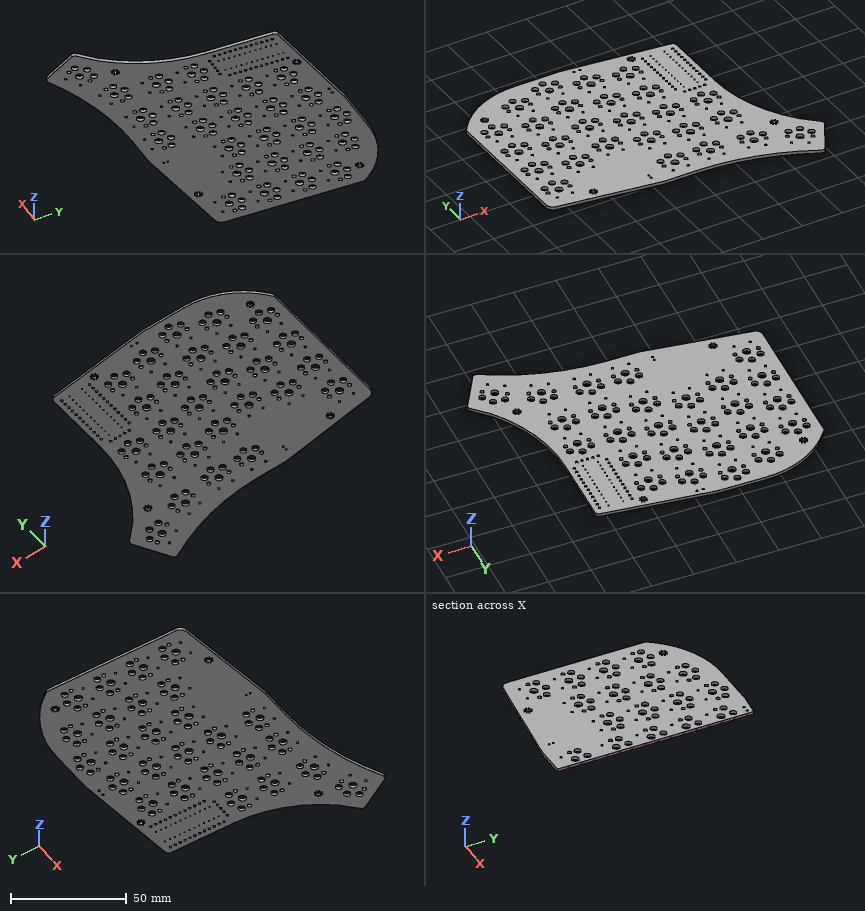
import cadquery as cq
import math

LENGTH = 136.48
WIDTH = 111.0
THICKNESS = 1.6

LEFT_EDGE_TOP = 92.1
LEFT_EDGE_FOOT = 21.5
LEFT_EDGE_CORNER_RADIUS = 3.5
SHOULDER_START = (2.3, 95.15)
SHOULDER_MIDDLE = (15.5, 106.05)
SHOULDER_END = (35.5, WIDTH)
TOP_SLOPE_START = 58.0
RIGHT_EDGE = 112.7
RIGHT_EDGE_TOP = 104.7
RIGHT_EDGE_CORNER_RADIUS = 2.0
WAIST_START = (RIGHT_EDGE, 70.5)
WAIST_MIDDLE = (116.8, 47.1)
WAIST_END = (128.8, 26.4)
FOOT_LEVEL = 14.1
FOOT_FLAT_START = 54.0
FOOT_FLAT_END = 70.0
FOOT_CURVE_MIDDLE = (95.0, 11.2)

TIP_RADIUS = 2.0
TIP_TILT = 30.0
TIP_UPPER_CENTRE_Y = 18.2
TIP_UPPER_NORMAL = 45.0
TIP_LOWER_NORMAL = 244.0

KEY_PITCH_X = 18.0
KEY_PITCH_Y = 17.0
FIRST_COLUMN_X = 11.0
INNER_COLUMN_X = 102.0
KEY_COLUMNS = [
    (FIRST_COLUMN_X, 32.0, 4),
    (FIRST_COLUMN_X + KEY_PITCH_X, 44.5, 4),
    (FIRST_COLUMN_X + 2 * KEY_PITCH_X, 49.5, 4),
    (FIRST_COLUMN_X + 3 * KEY_PITCH_X, 44.5, 4),
    (FIRST_COLUMN_X + 4 * KEY_PITCH_X, 24.5, 5),
    (INNER_COLUMN_X, 41.5, 2),
]
LOWER_KEY = (FIRST_COLUMN_X + 3 * KEY_PITCH_X, 24.5)
THUMB_KEYS = [(103.35, 21.85, -15.0), (122.05, 14.25, -30.0)]

SWITCH_POST_DIAMETER = 3.43
SWITCH_PIN_DIAMETER = 3.0
SWITCH_SIDE_PIN = (5.0, 3.75)
SWITCH_TOP_PIN_Y = 5.9
SWITCH_PEG_DIAMETER = 1.7
SWITCH_PEG_X = 5.5
DIODE_HOLE_DIAMETER = 0.99
DIODE_HOLE_X = 3.81
DIODE_HOLE_Y = -5.0

HEADER_PITCH = 2.54
HEADER_ROWS = 12
HEADER_ROW_SPAN = 6 * HEADER_PITCH
HEADER_HOLE_DIAMETER = 1.0
HEADER_BOTTOM_Y = 73.25
VIA_ROW_SPAN = 7.0
VIA_DIAMETER = 0.4
DISPLAY_HOLES = 5
DISPLAY_Y = 69.8

POWER_PEG_DIAMETER = 0.9
POWER_PEG_CENTRE = (65.0, 107.5)
POWER_PEG_SPACING = 3.0
BATTERY_HOLE_DIAMETER = 0.75
BATTERY_CENTRE = (50.0, 20.5)
BATTERY_SPACING = 2.0

MOUNT_POINTS = [(11.0, 95.0), (90.0, 103.4), (118.0, 29.5), (23.0, 23.0)]
MOUNT_DIAMETER = 2.2
MOUNT_VIA_COUNT = 8
MOUNT_VIA_RADIUS = 1.65


def on_circle(centre, radius, degrees):
    """Point on a circle, at an angle from +X."""
    angle = math.radians(degrees)
    return (centre[0] + radius * math.cos(angle), centre[1] + radius * math.sin(angle))


def make_plate():
    tip_upper = (LENGTH - TIP_RADIUS, TIP_UPPER_CENTRE_Y)
    tip_drop = tip_upper[1] - TIP_RADIUS
    tip_lower = (tip_upper[0] - tip_drop * math.tan(math.radians(TIP_TILT)), TIP_RADIUS)
    plate = (
        cq.Workplane("XY")
        .moveTo(0, LEFT_EDGE_TOP)
        .lineTo(*SHOULDER_START)
        .threePointArc(SHOULDER_MIDDLE, SHOULDER_END)
        .lineTo(TOP_SLOPE_START, WIDTH)
        .lineTo(RIGHT_EDGE, RIGHT_EDGE_TOP)
        .lineTo(*WAIST_START)
        .threePointArc(WAIST_MIDDLE, WAIST_END)
        .lineTo(*on_circle(tip_upper, TIP_RADIUS, TIP_UPPER_NORMAL))
        .threePointArc(
            on_circle(tip_upper, TIP_RADIUS, 0),
            on_circle(tip_upper, TIP_RADIUS, -TIP_TILT),
        )
        .lineTo(*on_circle(tip_lower, TIP_RADIUS, -TIP_TILT))
        .threePointArc(
            on_circle(tip_lower, TIP_RADIUS, -90),
            on_circle(tip_lower, TIP_RADIUS, TIP_LOWER_NORMAL),
        )
        .threePointArc(FOOT_CURVE_MIDDLE, (FOOT_FLAT_END, FOOT_LEVEL))
        .lineTo(FOOT_FLAT_START, FOOT_LEVEL)
        .lineTo(0, LEFT_EDGE_FOOT)
        .close()
        .extrude(THICKNESS)
    )
    plate = round_corner(plate, (0, LEFT_EDGE_FOOT), LEFT_EDGE_CORNER_RADIUS)
    return round_corner(plate, (RIGHT_EDGE, RIGHT_EDGE_TOP), RIGHT_EDGE_CORNER_RADIUS)


def round_corner(plate, corner, radius):
    """Fillet the upright edge at an outline corner."""
    nearest = cq.selectors.NearestToPointSelector((*corner, THICKNESS / 2))
    return plate.edges("|Z").edges(nearest).fillet(radius)


def key_positions():
    """Every key as (x, y, turn in degrees)."""
    keys = list(THUMB_KEYS)
    keys.append((*LOWER_KEY, 0.0))
    for column_x, lowest_y, count in KEY_COLUMNS:
        for row in range(count):
            keys.append((column_x, lowest_y + row * KEY_PITCH_Y, 0.0))
    return keys


def at_keys(offsets):
    """Points at the given offsets from every key, turned with the key."""
    points = []
    for key_x, key_y, turn in key_positions():
        cosine = math.cos(math.radians(turn))
        sine = math.sin(math.radians(turn))
        for dx, dy in offsets:
            points.append((key_x + dx * cosine - dy * sine, key_y + dx * sine + dy * cosine))
    return points


def header_points(row_span):
    """Two upright rows of points, spaced evenly about the inner key column."""
    points = []
    for row in range(HEADER_ROWS):
        y = HEADER_BOTTOM_Y + row * HEADER_PITCH
        points.append((INNER_COLUMN_X - row_span / 2, y))
        points.append((INNER_COLUMN_X + row_span / 2, y))
    return points


def display_points():
    first_x = INNER_COLUMN_X - HEADER_PITCH * (DISPLAY_HOLES - 1) / 2
    return [(first_x + i * HEADER_PITCH, DISPLAY_Y) for i in range(DISPLAY_HOLES)]


def power_points():
    x, y = POWER_PEG_CENTRE
    return [(x - POWER_PEG_SPACING / 2, y), (x + POWER_PEG_SPACING / 2, y)]


def battery_points():
    x, y = BATTERY_CENTRE
    return [(x, y - BATTERY_SPACING / 2), (x, y + BATTERY_SPACING / 2)]


def mount_via_points():
    step = 360 / MOUNT_VIA_COUNT
    return [
        on_circle(mount, MOUNT_VIA_RADIUS, i * step)
        for mount in MOUNT_POINTS
        for i in range(MOUNT_VIA_COUNT)
    ]


def drill(plate, points, diameter):
    """Cut a through hole at every point."""
    holes = cq.Workplane("XY").pushPoints(points).circle(diameter / 2).extrude(THICKNESS)
    return plate.cut(holes)


side_x, side_y = SWITCH_SIDE_PIN
switch_pins = [(-side_x, side_y), (side_x, side_y), (0, SWITCH_TOP_PIN_Y)]
switch_pegs = [(-SWITCH_PEG_X, 0), (SWITCH_PEG_X, 0)]
diode_holes = [(-DIODE_HOLE_X, DIODE_HOLE_Y), (DIODE_HOLE_X, DIODE_HOLE_Y)]

result = make_plate()
result = drill(result, at_keys([(0, 0)]), SWITCH_POST_DIAMETER)
result = drill(result, at_keys(switch_pins), SWITCH_PIN_DIAMETER)
result = drill(result, at_keys(switch_pegs), SWITCH_PEG_DIAMETER)
result = drill(result, at_keys(diode_holes), DIODE_HOLE_DIAMETER)
result = drill(result, header_points(HEADER_ROW_SPAN) + display_points(), HEADER_HOLE_DIAMETER)
result = drill(result, header_points(VIA_ROW_SPAN), VIA_DIAMETER)
result = drill(result, power_points(), POWER_PEG_DIAMETER)
result = drill(result, battery_points(), BATTERY_HOLE_DIAMETER)
result = drill(result, MOUNT_POINTS, MOUNT_DIAMETER)
result = drill(result, mount_via_points(), VIA_DIAMETER)